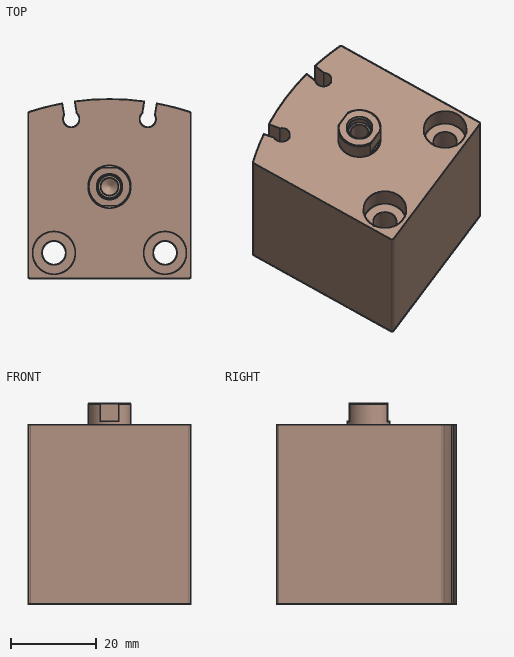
import cadquery as cq
import math


width = 38.0
length = 42.0
height = 42.0
front_y = -21.5
back_y = front_y + length
back_radius = 60.0
corner_radius = 0.4

slot_angle = 9.2
slot_bulb_diameter = 3.75
slot_neck_width = 2.9
slot_bulb_depth = 4.0

mount_spacing = 26.0
mount_edge_distance = 6.0
mount_diameter = 5.5
counterbore_diameter = 10.0
counterbore_depth = 5.7

overall_height = 47.0
rod_diameter = 10.0
rod_insertion = 14.1
rod_chamfer = 0.2
flat_spacing = 9.0
flat_start_height = 0.75

thread_diameter = 5.3
thread_depth = 2.0
thread_chamfer = 0.38
core_diameter = 4.15
core_depth = 9.4
drill_tip_angle = 118.0


def make_blank():
    half_width = width / 2
    arc_center_y = back_y - back_radius
    side_end_y = arc_center_y + math.sqrt(back_radius**2 - half_width**2)
    return (
        cq.Workplane("XY")
        .moveTo(-half_width, front_y)
        .lineTo(half_width, front_y)
        .lineTo(half_width, side_end_y)
        .threePointArc((0, back_y), (-half_width, side_end_y))
        .close()
        .extrude(height)
        .edges("|Z")
        .fillet(corner_radius)
    )


def make_slot(angle):
    """Keyhole slot along the full height, turned about the center of the back arc."""
    bulb_y = back_y - slot_bulb_depth
    neck_length = 2 * slot_bulb_depth
    bulb = cq.Workplane("XY").center(0, bulb_y).circle(slot_bulb_diameter / 2).extrude(height)
    neck = (
        cq.Workplane("XY")
        .center(0, bulb_y + neck_length / 2)
        .rect(slot_neck_width, neck_length)
        .extrude(height)
    )
    arc_center_y = back_y - back_radius
    return bulb.union(neck).rotate((0, arc_center_y, 0), (0, arc_center_y, 1), angle)


def make_housing():
    housing = make_blank()
    for angle in (-slot_angle, slot_angle):
        housing = housing.cut(make_slot(angle))
    mount_y = front_y + mount_edge_distance
    housing = (
        housing.faces(">Z")
        .workplane(origin=(0, 0, height))
        .pushPoints([(-mount_spacing / 2, mount_y), (mount_spacing / 2, mount_y)])
        .cboreHole(mount_diameter, counterbore_diameter, counterbore_depth)
    )
    rod_recess = (
        cq.Workplane("XY")
        .workplane(offset=height - rod_insertion)
        .circle(rod_diameter / 2)
        .extrude(rod_insertion)
    )
    return housing.cut(rod_recess)


def make_rod_hole():
    """Chamfered thread, core hole and conical drill tip as one turned shape."""
    thread_radius = thread_diameter / 2
    core_radius = core_diameter / 2
    tip_length = core_radius / math.tan(math.radians(drill_tip_angle / 2))
    return (
        cq.Workplane("XZ")
        .moveTo(0, overall_height)
        .lineTo(thread_radius + thread_chamfer, overall_height)
        .lineTo(thread_radius, overall_height - thread_chamfer)
        .lineTo(thread_radius, overall_height - thread_depth)
        .lineTo(core_radius, overall_height - thread_depth)
        .lineTo(core_radius, overall_height - core_depth)
        .lineTo(0, overall_height - core_depth - tip_length)
        .close()
        .revolve(360, (0, 0, 0), (0, 1, 0))
    )


def make_rod():
    rod_bottom = height - rod_insertion
    rod = (
        cq.Workplane("XY")
        .workplane(offset=rod_bottom)
        .circle(rod_diameter / 2)
        .extrude(overall_height - rod_bottom)
        .faces(">Z")
        .chamfer(rod_chamfer)
    )
    flat_bottom = height + flat_start_height
    flat_depth = (rod_diameter - flat_spacing) / 2
    for side in (-1, 1):
        flat_cut = (
            cq.Workplane("XY")
            .workplane(offset=flat_bottom)
            .center(0, side * (flat_spacing + flat_depth) / 2)
            .rect(rod_diameter, flat_depth)
            .extrude(overall_height - flat_bottom)
        )
        rod = rod.cut(flat_cut)
    return rod.cut(make_rod_hole())


housing = make_housing()
rod = make_rod()
result = cq.Compound.makeCompound([housing.val(), rod.val()])